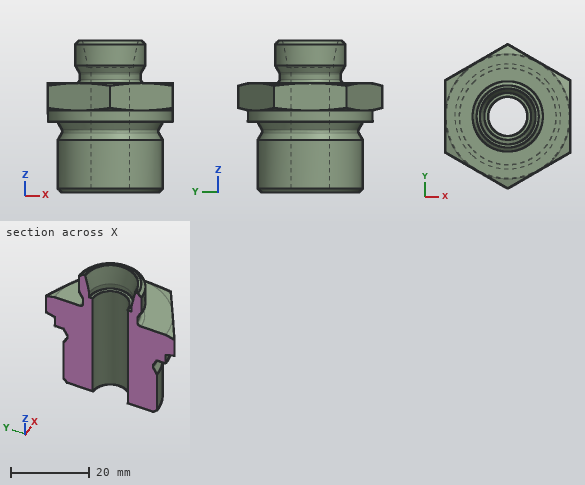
import cadquery as cq
import math

LARGE_THREAD_TOP = 13.4
COLLAR_BOTTOM = 18.0
HEX_BOTTOM = 21.02
HEX_TOP = 28.0
SMALL_THREAD_BOTTOM = 32.55
TOTAL_HEIGHT = 39.0

LARGE_THREAD_DIAMETER = 27.0
SMALL_THREAD_DIAMETER = 18.0
NECK_DIAMETER = 15.7
ACROSS_FLATS = 32.0
COLLAR_DIAMETER = ACROSS_FLATS

THREAD_CHAMFER = 1.05
COLLAR_CHAMFER = 0.25
RELIEF_RADIUS = 0.98
RELIEF_ANGLE = 30.0
HEX_CHAMFER_ANGLE = 15.0

BORE_DIAMETER = 10.0
SOCKET_DIAMETER = 12.0
SOCKET_MOUTH_DIAMETER = 14.3
SOCKET_DEPTH = 7.0
SOCKET_HALF_ANGLE = 12.0

MATCH_TOLERANCE = 0.005


def tan_deg(angle):
    return math.tan(math.radians(angle))


def revolve_profile(points):
    """Revolve a closed (radius, height) outline about the Z axis."""
    return cq.Workplane("XZ").polyline(points).close().revolve(360, (0, 0), (0, 1))


def round_circle_at(body, radius, height):
    """Round the circular edge that passes through the given radius and height."""
    circles = [
        edge for edge in body.edges("%CIRCLE").vals()
        if abs(edge.radius() - radius) < MATCH_TOLERANCE
        and abs(edge.Center().z - height) < MATCH_TOLERANCE
    ]
    return body.newObject(circles).fillet(RELIEF_RADIUS)


def make_large_thread_end():
    """Lower plug with a V-shaped relief groove beneath the collar."""
    radius = LARGE_THREAD_DIAMETER / 2
    groove_half_width = (COLLAR_BOTTOM - LARGE_THREAD_TOP) / 2
    groove_height = LARGE_THREAD_TOP + groove_half_width
    groove_radius = radius - groove_half_width * tan_deg(RELIEF_ANGLE)
    body = revolve_profile([
        (0, 0),
        (radius - THREAD_CHAMFER, 0),
        (radius, THREAD_CHAMFER),
        (radius, LARGE_THREAD_TOP),
        (groove_radius, groove_height),
        (radius, COLLAR_BOTTOM),
        (0, COLLAR_BOTTOM),
    ])
    return round_circle_at(body, groove_radius, groove_height)


def make_collar():
    collar = cq.Workplane("XY").workplane(offset=COLLAR_BOTTOM)
    collar = collar.circle(COLLAR_DIAMETER / 2).extrude(HEX_BOTTOM - COLLAR_BOTTOM)
    return collar.faces("<Z").edges().chamfer(COLLAR_CHAMFER)


def make_hexagon():
    """Wrench hexagon, corners along Y, with conical chamfers on both ends."""
    across_corners = ACROSS_FLATS / math.cos(math.radians(30))
    flat_radius = ACROSS_FLATS / 2
    corner_radius = across_corners / 2
    corner_drop = (corner_radius - flat_radius) * tan_deg(HEX_CHAMFER_ANGLE)
    prism = (
        cq.Workplane("XY").workplane(offset=HEX_BOTTOM)
        .transformed(rotate=(0, 0, 90))
        .polygon(6, across_corners)
        .extrude(HEX_TOP - HEX_BOTTOM)
    )
    envelope = revolve_profile([
        (0, HEX_BOTTOM),
        (flat_radius, HEX_BOTTOM),
        (corner_radius, HEX_BOTTOM + corner_drop),
        (corner_radius, HEX_TOP - corner_drop),
        (flat_radius, HEX_TOP),
        (0, HEX_TOP),
    ])
    return prism.intersect(envelope)


def make_small_thread_end():
    """Upper spigot on a narrower neck."""
    radius = SMALL_THREAD_DIAMETER / 2
    neck_radius = NECK_DIAMETER / 2
    neck_top = SMALL_THREAD_BOTTOM - (radius - neck_radius) / tan_deg(RELIEF_ANGLE)
    body = revolve_profile([
        (0, HEX_TOP),
        (neck_radius, HEX_TOP),
        (neck_radius, neck_top),
        (radius, SMALL_THREAD_BOTTOM),
        (radius, TOTAL_HEIGHT - THREAD_CHAMFER),
        (radius - THREAD_CHAMFER, TOTAL_HEIGHT),
        (0, TOTAL_HEIGHT),
    ])
    return round_circle_at(body, neck_radius, neck_top)


def make_bore():
    """Through bore opening into a cylindrical seat and a tapered mouth."""
    bore_radius = BORE_DIAMETER / 2
    socket_radius = SOCKET_DIAMETER / 2
    mouth_radius = SOCKET_MOUTH_DIAMETER / 2
    socket_bottom = TOTAL_HEIGHT - SOCKET_DEPTH
    taper_bottom = TOTAL_HEIGHT - (mouth_radius - socket_radius) / tan_deg(SOCKET_HALF_ANGLE)
    return revolve_profile([
        (0, 0),
        (bore_radius, 0),
        (bore_radius, socket_bottom),
        (socket_radius, socket_bottom),
        (socket_radius, taper_bottom),
        (mouth_radius, TOTAL_HEIGHT),
        (0, TOTAL_HEIGHT),
    ])


body = make_large_thread_end().union(make_collar()).union(make_hexagon())
body = body.union(make_small_thread_end())
body = round_circle_at(body, NECK_DIAMETER / 2, HEX_TOP)
result = body.cut(make_bore())